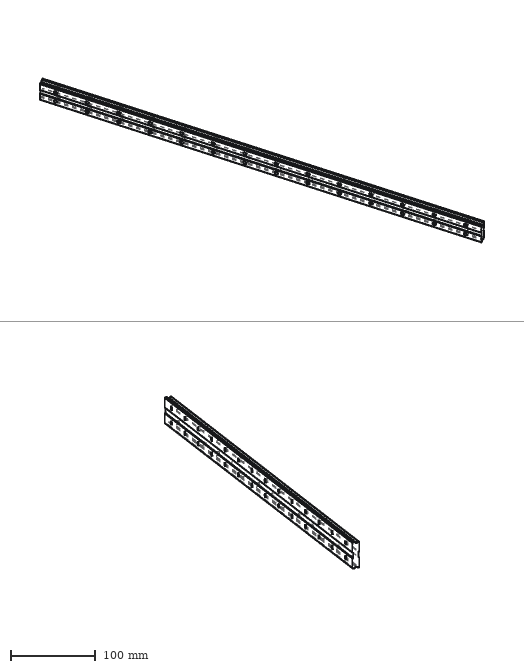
import cadquery as cq

length = 560.0
thickness = 9.0
height = 33.0
corner_chamfer = 0.8

channel_mouth = 7.0
channel_floor = 6.0
channel_depth = 0.9

groove_mouth = 4.8
groove_depth = 1.8
groove_floor = groove_mouth - 2 * groove_depth
groove_offset = -0.7

hole_diameter = 4.5
hole_count = 14
hole_pitch = length / hole_count
row_spacing = 18.5


def bar():
    """Plain bar with its four long corners chamfered."""
    return cq.Workplane("XY").box(length, thickness, height).edges("|X").chamfer(corner_chamfer)


def tapered_cutter(surface, mouth, floor, depth):
    """Full-length cutter, symmetric about XZ, sunk by depth into the top surface at Z = surface."""
    return (
        cq.Workplane("YZ")
        .polyline([
            (-mouth / 2, surface),
            (-floor / 2, surface - depth),
            (floor / 2, surface - depth),
            (mouth / 2, surface),
        ])
        .close()
        .extrude(length / 2, both=True)
    )


def face_channel():
    """Channel in the broad -Y face."""
    channel = tapered_cutter(thickness / 2, channel_mouth, channel_floor, channel_depth)
    return channel.rotate((0, 0, 0), (1, 0, 0), 90)


def edge_groove():
    """Groove in the top narrow edge."""
    groove = tapered_cutter(height / 2, groove_mouth, groove_floor, groove_depth)
    return groove.translate((0, groove_offset, 0))


def holes():
    return (
        cq.Workplane("XZ")
        .rarray(hole_pitch, row_spacing, hole_count, 2)
        .circle(hole_diameter / 2)
        .extrude(thickness / 2, both=True)
    )


result = bar().cut(holes())
for cutter, mirror_plane in ((face_channel(), "XZ"), (edge_groove(), "XY")):
    result = result.cut(cutter).cut(cutter.mirror(mirror_plane))